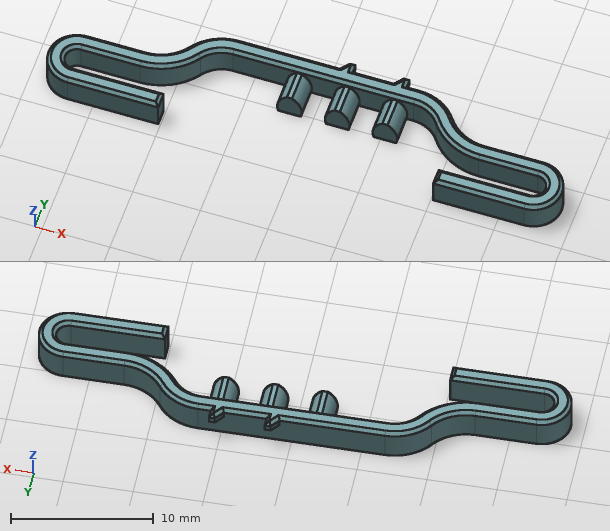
import cadquery as cq
import math

length = 37.95
height = 2.28
strip_width = 1.2
strip_depth = 7.2
top_chamfer = 0.25
hook_outer_radius = 2.1
hook_tip_x = 10.15
crest_half_length = 6.68
arm_bend_x = 12.52
crest_bend_radius = 3.07
join_tolerance = 0.0005

peg_count = 3
peg_pitch = 3.53
first_peg_x = -1.75
peg_length = 2.2
peg_top = 1.9
peg_tip_half_width = 0.2
peg_half_width = 0.9
peg_widest_height = 0.55

barb_right_sides = (1.8, 5.75)
barb_reach = 0.65
barb_tip_width = 0.4
barb_height = 0.7
barb_slope_run = 0.55
barb_root = 0.57

half_width = strip_width / 2
hook_radius = hook_outer_radius - half_width
hook_center_x = length / 2 - hook_outer_radius
crest_y = strip_depth - half_width
arm_y = 2 * hook_outer_radius - half_width
bend_run = arm_bend_x - crest_half_length
bend_drop = crest_y - arm_y
bend_angle = 2 * math.atan2(bend_drop, bend_run)
arm_bend_radius = bend_run / math.sin(bend_angle) - crest_bend_radius


def polar(center, radius, angle):
    return (center[0] + radius * math.cos(angle), center[1] + radius * math.sin(angle))


def side_arcs(offset):
    """Start, middle and end of each arc on one side of the right half, from crest to hook."""
    quarter = math.pi / 2
    arcs = (
        ((crest_half_length, crest_y - crest_bend_radius), crest_bend_radius + offset,
         quarter, quarter - bend_angle),
        ((arm_bend_x, arm_y + arm_bend_radius), arm_bend_radius - offset,
         -quarter - bend_angle, -quarter),
        ((hook_center_x, hook_outer_radius), hook_radius + offset, quarter, -quarter),
    )
    return [
        [polar(center, radius, angle) for angle in (start, (start + end) / 2, end)]
        for center, radius, start, end in arcs
    ]


def trace_arcs(outline, arcs):
    """Continue the outline through the arcs, with a straight only where there is a gap."""
    position = None
    for start, middle, end in arcs:
        if position is None or math.dist(position, start) > join_tolerance:
            outline = outline.lineTo(*start)
        outline = outline.threePointArc(middle, end)
        position = end
    return outline


def make_half_strip():
    outer = side_arcs(half_width)
    inner = side_arcs(-half_width)
    outline = cq.Workplane("XY").moveTo(0, crest_y + half_width)
    outline = trace_arcs(outline, outer)
    outline = outline.lineTo(hook_tip_x, outer[-1][-1][1]).lineTo(hook_tip_x, inner[-1][-1][1])
    outline = trace_arcs(outline, [arc[::-1] for arc in reversed(inner)])
    return outline.lineTo(0, crest_y - half_width).close().extrude(height)


def make_strip():
    half = make_half_strip()
    strip = half.union(half.mirror("YZ")).clean()
    return strip.faces(">Z").chamfer(top_chamfer)


def make_peg(x):
    """Pointed peg: two bulging sides, with a flat bottom and a narrow flat top."""
    rise = peg_top - peg_widest_height
    narrowing = peg_half_width - peg_tip_half_width
    side_radius = (rise ** 2 + narrowing ** 2) / (2 * narrowing)
    side_center = peg_half_width - side_radius
    base_half_width = side_center + math.sqrt(side_radius ** 2 - peg_widest_height ** 2)
    return (
        cq.Workplane("XZ", origin=(x, crest_y, 0))
        .moveTo(-base_half_width, 0)
        .lineTo(base_half_width, 0)
        .threePointArc((peg_half_width, peg_widest_height), (peg_tip_half_width, peg_top))
        .lineTo(-peg_tip_half_width, peg_top)
        .threePointArc((-peg_half_width, peg_widest_height), (-base_half_width, 0))
        .close()
        .extrude(half_width + peg_length)
    )


def bevel_cutter(start, end):
    """Wedge that chamfers the top edge from start to end, with the barb on its right."""
    margin = 0.75
    run = (end[0] - start[0], end[1] - start[1], 0)
    edge_length = math.hypot(run[0], run[1])
    outward = (-run[1], run[0], 0)
    plane = cq.Plane(origin=(start[0], start[1], height), xDir=outward, normal=run)
    wedge = (
        cq.Workplane(plane)
        .workplane(offset=-margin)
        .polyline([(-top_chamfer - margin, margin), (margin, margin), (margin, -top_chamfer - margin)])
        .close()
        .extrude(edge_length + 2 * margin)
    )
    return wedge


def make_barb(right):
    """Back-facing tooth with one straight side, one sloping side and a bevelled top."""
    back = strip_depth + barb_reach
    root = strip_depth - barb_root
    tip_left = right - barb_tip_width
    root_left = tip_left - barb_slope_run * (barb_reach + barb_root) / barb_reach
    corners = [(root_left, root), (tip_left, back), (right, back), (right, root)]
    barb = (
        cq.Workplane("XY", origin=(0, 0, height - barb_height))
        .polyline(corners)
        .close()
        .extrude(barb_height)
    )
    for start, end in zip(corners, corners[1:]):
        barb = barb.cut(bevel_cutter(start, end))
    return barb


result = make_strip()
for index in range(peg_count):
    result = result.union(make_peg(first_peg_x + index * peg_pitch))
for right_side in barb_right_sides:
    result = result.union(make_barb(right_side))